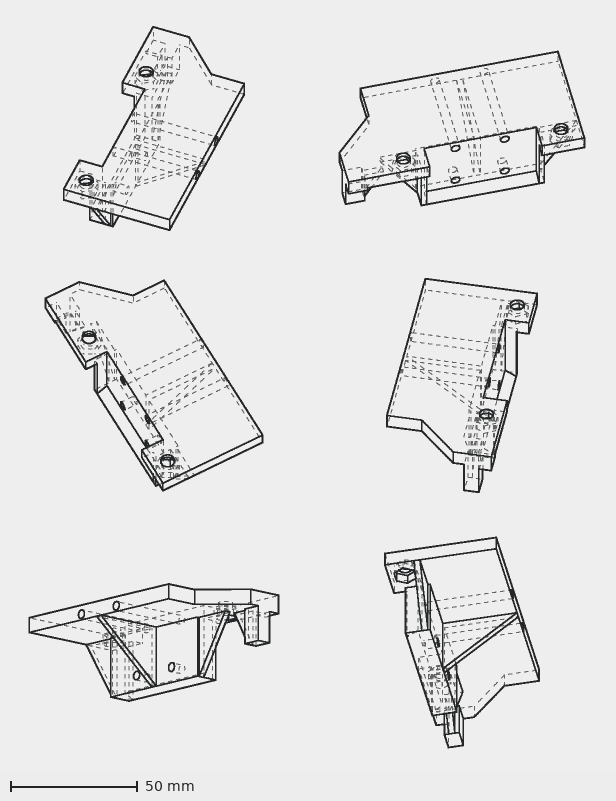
import cadquery as cq

length = 95.75
width = 45.0
height = 30.0
plate_thickness = 6.0
plate_hole_diameter = 5.5
plate_hole_x = 6.5
plate_hole_ys = (7.9, 71.9)
nut_pocket_corners = 9.2
nut_pocket_depth = 4.0

tip_width = 15.3
corner_cut = 15.6

block_x = 5.1
block_back_x = 15.0
block_width = 50.0
block_y = 15.0
block_center_y = block_y + block_width / 2
pocket_width = 45.6
pocket_back_x = 9.6
pocket_floor_height = 2.6

mount_hole_diameter = 3.4
mount_hole_pitch = 20.0
top_hole_z = -3.7

gusset_thickness = 2.5
side_gusset_x = 11.7
side_gusset_run = block_y

stop_x = 5.0
stop_thickness = 6.0
stop_length = 7.85
stop_height = 20.1
stop_y = length - stop_length
lip_height = 7.5
stop_gusset_thickness = 2.5
stop_gusset_x = stop_x + (stop_thickness - stop_gusset_thickness) / 2
stop_gusset_end_y = block_y + block_width + side_gusset_run


def box(x0, x1, y0, y1, z0, z1):
    """Box between two opposite corners."""
    return cq.Workplane("XY").box(x1 - x0, y1 - y0, z1 - z0, centered=False).translate((x0, y0, z0))


def side_gusset(x, thickness, wall_y, end_y, bottom_z):
    """Triangle in a YZ plane, joining an upright wall to the plate underside."""
    corners = [(wall_y, bottom_z), (wall_y, -plate_thickness), (end_y, -plate_thickness)]
    return cq.Workplane("YZ", origin=(x, 0, 0)).polyline(corners).close().extrude(thickness)


def make_nut_pocket(x, y):
    """Hexagonal recess in the plate underside, with two flats square to X."""
    hexagon = cq.Workplane("XY").polygon(6, nut_pocket_corners).extrude(nut_pocket_depth)
    return hexagon.rotate((0, 0, 0), (0, 0, 1), 30).translate((x, y, -plate_thickness))


def make_plate():
    outline = [
        (0, 0),
        (width, 0),
        (width, length - corner_cut),
        (tip_width + corner_cut, length - corner_cut),
        (tip_width, length),
        (0, length),
    ]
    plate = cq.Workplane("XY").polyline(outline).close().extrude(-plate_thickness)
    hole_centers = [(plate_hole_x, y) for y in plate_hole_ys]
    holes = cq.Workplane("XY").pushPoints(hole_centers).circle(plate_hole_diameter / 2)
    plate = plate.cut(holes.extrude(-plate_thickness))
    for x, y in hole_centers:
        plate = plate.cut(make_nut_pocket(x, y))
    return plate


def make_mount():
    block = box(block_x, block_back_x, block_y, block_y + block_width, -height, 0)
    front = side_gusset(side_gusset_x, gusset_thickness, block_y, block_y - side_gusset_run, -height)
    back_wall_y = block_y + block_width
    back = side_gusset(side_gusset_x, gusset_thickness, back_wall_y, back_wall_y + side_gusset_run, -height)
    return block.union(front).union(back)


def make_rear_rib():
    """Central rib behind the block, reaching the right edge of the plate."""
    corners = [(block_back_x, -height), (block_back_x, -plate_thickness), (width, -plate_thickness)]
    rib = cq.Workplane("XZ").polyline(corners).close().extrude(gusset_thickness / 2, both=True)
    return rib.translate((0, block_center_y, 0))


def make_stop():
    stop = box(stop_x, stop_x + stop_thickness, stop_y, length, -stop_height, -plate_thickness)
    lip = box(0, stop_x, stop_y, length, -lip_height, -plate_thickness)
    gusset = side_gusset(stop_gusset_x, stop_gusset_thickness, stop_y, stop_gusset_end_y, -stop_height)
    return stop.union(lip).union(gusset)


def make_pocket():
    """Notch through the plate and block, with a floor sloping down to the open face."""
    floor_slope = pocket_floor_height / (pocket_back_x - block_x)
    open_edge_z = -height - floor_slope * block_x
    profile = [
        (0, 0),
        (pocket_back_x, 0),
        (pocket_back_x, pocket_floor_height - height),
        (0, open_edge_z),
    ]
    pocket = cq.Workplane("XZ").polyline(profile).close().extrude(pocket_width / 2, both=True)
    return pocket.translate((0, block_center_y, 0))


def make_mount_holes():
    center = (0, block_center_y, top_hole_z - mount_hole_pitch / 2)
    pattern = cq.Workplane("YZ", origin=center).rarray(mount_hole_pitch, mount_hole_pitch, 2, 2)
    return pattern.circle(mount_hole_diameter / 2).extrude(width)


body = make_plate().union(make_mount()).union(make_rear_rib()).union(make_stop())
result = body.cut(make_pocket()).cut(make_mount_holes())